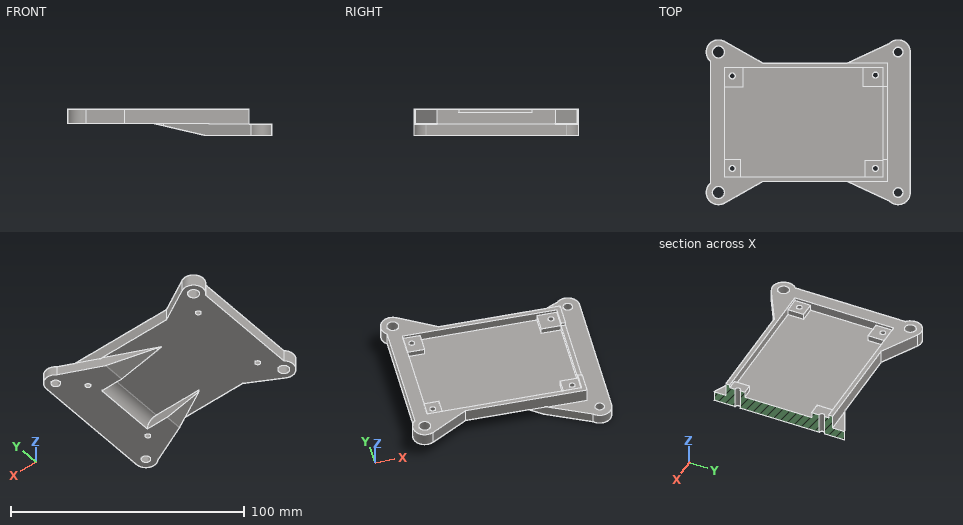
import cadquery as cq

total_length = 87.5
total_width = 70.7
total_height = 11.4
tray_height = 6.2
tray_bottom = total_height - tray_height
foot_height = 4.9

ear_radius = 5.25
ear_y = total_width / 2 - ear_radius
left_ear_x = ear_radius
right_ear_x = total_length - ear_radius
left_ear_hole = 5.1
right_ear_hole = 4.0

tray_left = 1.8
tray_right = 77.8
tray_half_width = 25.4
wall = 1.9
pocket_left = 8.0
pocket_right = tray_right - wall
pocket_half_width = tray_half_width - wall
pocket_depth = 4.2
pocket_floor = total_height - pocket_depth
pad_drop = 1.5
pad_top = total_height - pad_drop

left_arm_start_x = 24.3
left_arm_end = (7.8, 34.7)
right_arm_start_x = 60.5
right_arm_end = (78.5, 33.8)

ramp_start_x = 36.75
ramp_end_x = 58.9
recess_end_x = 70.0
recess_radius = 5.1
recess_y = (-16.4, 14.0)

screw_hole = 2.45
pads = [
    (-1, 1, 7.8, 8.4, 11.2, 19.9),
    (1, 1, 8.75, 8.05, 72.5, 20.2),
    (-1, -1, 6.8, 7.4, 11.2, -19.8),
    (1, -1, 7.8, 7.2, 72.5, -19.8),
]
notch_y = (-16.0, 15.3)


def block(x_range, y_range, z_range):
    """Axis-aligned box between the given limits."""
    size = [high - low for low, high in (x_range, y_range, z_range)]
    corner = (x_range[0], y_range[0], z_range[0])
    return cq.Workplane("XY").box(*size, centered=False).translate(corner)


def rods(points, radius, bottom, height):
    """Upright cylinders at the given plan positions."""
    return cq.Workplane("XY", origin=(0, 0, bottom)).pushPoints(points).circle(radius).extrude(height)


def mirrored_plate(half_outline, bottom, height):
    """Plate whose outline is the given upper edge and its mirror image in y."""
    lower = [(x, -y) for x, y in reversed(half_outline)]
    return cq.Workplane("XY", origin=(0, 0, bottom)).polyline(half_outline + lower).close().extrude(height)


def ear_points(x):
    return [(x, -ear_y), (x, ear_y)]


def make_tray():
    upper_edge = [
        (tray_left, ear_y),
        (left_ear_x, ear_y),
        left_arm_end,
        (left_arm_start_x, tray_half_width),
        (tray_right, tray_half_width),
    ]
    tray = mirrored_plate(upper_edge, tray_bottom, tray_height)
    tray = tray.union(rods(ear_points(left_ear_x), ear_radius, tray_bottom, tray_height))
    pocket = block(
        (pocket_left, pocket_right),
        (-pocket_half_width, pocket_half_width),
        (pocket_floor, total_height),
    )
    notch = block((pocket_right, tray_right), notch_y, (pad_top, total_height))
    return tray.cut(pocket).cut(notch)


def make_foot():
    end_x, end_y = right_arm_end
    slope = (end_y - tray_half_width) / (end_x - right_arm_start_x)
    ramp_start_y = tray_half_width - slope * (right_arm_start_x - ramp_start_x)
    upper_edge = [
        (ramp_start_x, ramp_start_y),
        right_arm_end,
        (right_ear_x, ear_y),
        (total_length, ear_y),
    ]
    foot = mirrored_plate(upper_edge, 0, foot_height)
    foot = foot.union(rods(ear_points(right_ear_x), ear_radius, 0, foot_height))
    filler_edge = [
        (ramp_start_x, ramp_start_y),
        (right_arm_start_x, tray_half_width),
        (tray_right, tray_half_width),
    ]
    foot = foot.union(mirrored_plate(filler_edge, foot_height, tray_bottom - foot_height))
    ramp = (
        cq.Workplane("XZ")
        .polyline([(ramp_start_x, 0), (ramp_start_x, tray_bottom), (ramp_end_x, 0)])
        .close()
        .extrude(ear_y, both=True)
    )
    recess = block((ramp_start_x, recess_end_x), recess_y, (0, tray_bottom))
    recess = recess.edges("|Y and >X and >Z").fillet(recess_radius)
    return foot.cut(ramp).cut(recess)


def make_pad(side_x, side_y, size_x, size_y):
    """Pad filling one corner of the pocket."""
    x_range = (pocket_left, pocket_left + size_x)
    if side_x > 0:
        x_range = (pocket_right - size_x, pocket_right)
    y_range = (-pocket_half_width, size_y - pocket_half_width)
    if side_y > 0:
        y_range = (pocket_half_width - size_y, pocket_half_width)
    return block(x_range, y_range, (pocket_floor, pad_top))


result = make_tray().union(make_foot())
for side_x, side_y, size_x, size_y, hole_x, hole_y in pads:
    result = result.union(make_pad(side_x, side_y, size_x, size_y))
    result = result.cut(rods([(hole_x, hole_y)], screw_hole / 2, 0, total_height))
result = result.cut(rods(ear_points(left_ear_x), left_ear_hole / 2, 0, total_height))
result = result.cut(rods(ear_points(right_ear_x), right_ear_hole / 2, 0, total_height))